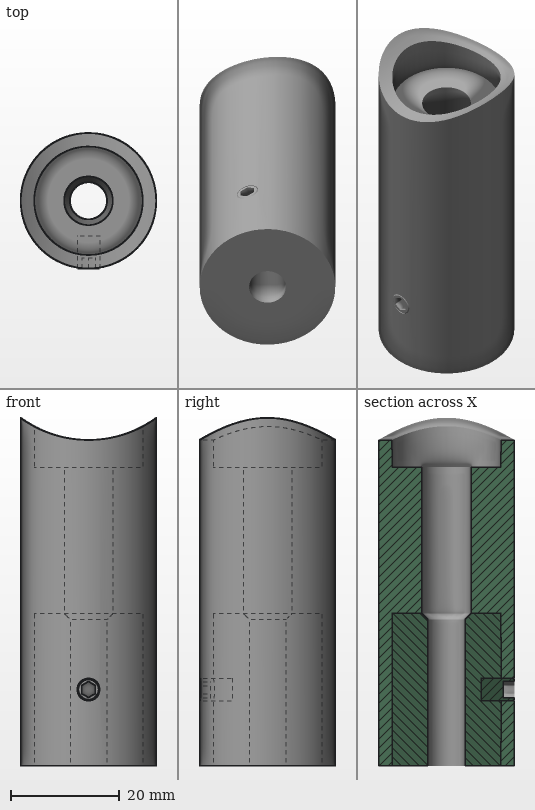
import cadquery as cq
import math

overall_height = 64.1
housing_radius = 12.5
bore_radius = 10.0
saddle_radius = 21.2
floor_height = 55.0
clearance_radius = 4.5

screw_height = 14.05
screw_radius = 2.05
screw_length = 6.0
screw_chamfer = 0.2
socket_across_flats = 2.55
socket_depth = 2.0

insert_hole_radius = 3.4
insert_height = 2 * screw_height
insert_chamfer = clearance_radius - insert_hole_radius

saddle_axis_height = overall_height + math.sqrt(saddle_radius**2 - housing_radius**2)
screw_face_y = -housing_radius
socket_across_corners = socket_across_flats / math.cos(math.pi / 6)


def screw_plane():
    """Plane on the outer end of the screw, X pointing up and the normal into the housing (+Y)."""
    return cq.Plane(
        origin=(0, screw_face_y, screw_height), xDir=(0, 0, 1), normal=(0, 1, 0)
    )


def screw_envelope():
    """Plain cylinder that the screw occupies, also used to cut its hole."""
    return cq.Workplane(screw_plane()).circle(screw_radius).extrude(screw_length)


def vertical_cylinder(radius, bottom, top):
    """Cylinder on the Z axis between two heights."""
    return cq.Workplane("XY").workplane(offset=bottom).circle(radius).extrude(top - bottom)


def saddle_cutter():
    """Cylinder along Y that hollows the top of the housing."""
    return (
        cq.Workplane("XZ")
        .center(0, saddle_axis_height)
        .circle(saddle_radius)
        .extrude(housing_radius, both=True)
    )


def make_housing():
    """Round post with a saddle top, a bore at each end, a bolt hole and a screw hole."""
    post = vertical_cylinder(housing_radius, 0, overall_height)
    top_bore = vertical_cylinder(bore_radius, floor_height, overall_height)
    base_recess = vertical_cylinder(bore_radius, 0, insert_height)
    bolt_hole = vertical_cylinder(clearance_radius, insert_height, floor_height)
    return (
        post.cut(saddle_cutter())
        .cut(top_bore)
        .cut(base_recess)
        .cut(bolt_hole)
        .cut(screw_envelope())
    )


def make_insert():
    """Plug that fills the base recess, with a chamfered through hole and a seat for the screw."""
    plug = vertical_cylinder(bore_radius, 0, insert_height)
    plug = plug.faces(">Z").workplane().hole(2 * insert_hole_radius)
    plug = plug.faces(">Z").edges(cq.selectors.RadiusNthSelector(0)).chamfer(insert_chamfer)
    return plug.cut(screw_envelope())


def make_set_screw():
    """Set screw with a chamfered outer end and a hexagon socket."""
    body = screw_envelope().faces("<Y").chamfer(screw_chamfer)
    socket = cq.Workplane(screw_plane()).polygon(6, socket_across_corners).extrude(socket_depth)
    return body.cut(socket)


housing = make_housing()
insert = make_insert()
set_screw = make_set_screw()

result = cq.Compound.makeCompound([housing.val(), insert.val(), set_screw.val()])